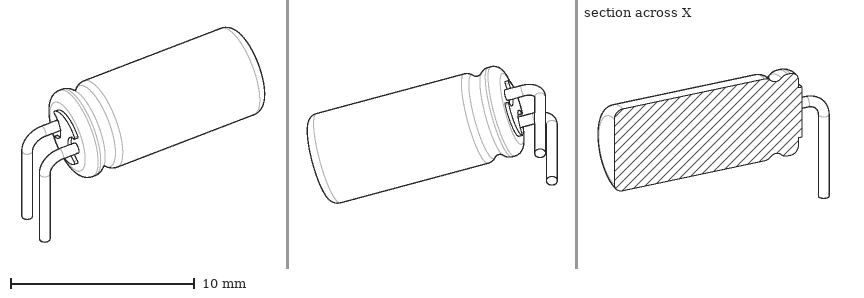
import cadquery as cq
import math

overall_length = 13.32
can_radius = 2.524
end_round = 0.52
rim_width = 0.16
shoulder_radius = 0.49
groove_radius = 0.43
groove_depth = 0.3

lead_diameter = 0.6
lead_pitch = 2.0
bend_radius = 1.0
lead_straight = 0.96
lead_drop = 6.0

pad_radius = 1.55
pad_height = 0.2
relief_radius = 0.88
relief_offset = 1.29
pad_corner_round = 0.1

lead_reach = lead_straight + bend_radius + lead_diameter / 2
can_length = overall_length - lead_reach


def make_can():
    arc_sum = shoulder_radius + groove_radius
    tangent_angle = math.acos(1 - groove_depth / arc_sum)
    groove_start = end_round + rim_width
    groove_middle = groove_start + arc_sum * math.sin(tangent_angle)
    groove_end = 2 * groove_middle - groove_start

    def shoulder_point(angle):
        """Offset along Y and radius of a point on the shoulder arc."""
        return (
            shoulder_radius * math.sin(angle),
            can_radius - shoulder_radius * (1 - math.cos(angle)),
        )

    mid_y, mid_radius = shoulder_point(tangent_angle / 2)
    tangent_y, tangent_radius = shoulder_point(tangent_angle)
    face_radius = can_radius - end_round
    round_mid = end_round * (1 - math.sqrt(0.5))

    profile = (
        cq.Workplane("XY")
        .lineTo(face_radius, 0)
        .threePointArc((can_radius - round_mid, round_mid), (can_radius, end_round))
        .lineTo(can_radius, groove_start)
        .threePointArc((mid_radius, groove_start + mid_y), (tangent_radius, groove_start + tangent_y))
        .threePointArc((can_radius - groove_depth, groove_middle), (tangent_radius, groove_end - tangent_y))
        .threePointArc((mid_radius, groove_end - mid_y), (can_radius, groove_end))
        .lineTo(can_radius, can_length - end_round)
        .threePointArc((can_radius - round_mid, can_length - round_mid), (face_radius, can_length))
        .lineTo(0, can_length)
        .close()
    )
    return profile.revolve(360, (0, 0, 0), (0, 1, 0))


def make_pad():
    relief_centres = [(-relief_offset, 0), (relief_offset, 0)]
    pad = cq.Workplane("XZ").circle(pad_radius).extrude(pad_height)
    reliefs = cq.Workplane("XZ").pushPoints(relief_centres).circle(relief_radius).extrude(pad_height)
    return pad.cut(reliefs).edges("|Y").fillet(pad_corner_round)


def make_lead(x):
    bend_start = -lead_straight
    path = (
        cq.Workplane("YZ", origin=(x, 0, 0))
        .lineTo(bend_start, 0)
        .radiusArc((bend_start - bend_radius, -bend_radius), -bend_radius)
        .lineTo(bend_start - bend_radius, -lead_drop)
    )
    return cq.Workplane("XZ", origin=(x, 0, 0)).circle(lead_diameter / 2).sweep(path)


result = make_can().union(make_pad())
for lead_x in (-lead_pitch / 2, lead_pitch / 2):
    result = result.union(make_lead(lead_x))